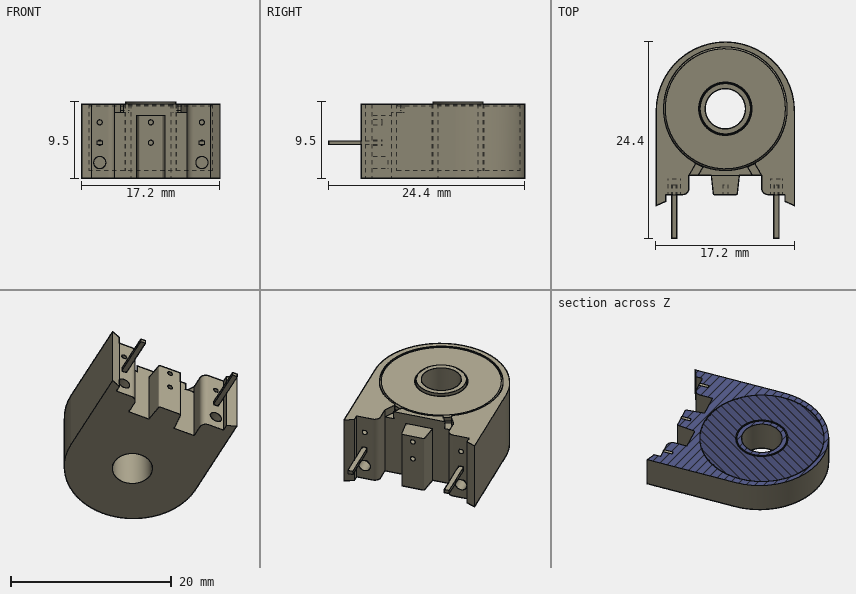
import cadquery as cq
import math

width = 17.2
outer_radius = width / 2
housing_height = 9.2
total_height = 9.5
total_length = 24.4

tip_y = -11.75
tip_inner_y = -11.22
tip_inner_x = 7.4
foot_y = -10.4
recess_x = 4.51
recess_y = -7.98
foot_fillet = 0.8

bore_y = 0.3
bore_radius = 2.5
tube_radius = 3.12
cavity_radius = 7.69
cavity_floor = 0.98

ring_bore_radius = 3.22
ring_chamfer = 0.22
ring_bore_chamfer = 0.1

block_root_half_width = 1.75
block_end_half_width = 1.5
block_height = 7.78
block_fillet = 0.2

channel_floor = 8.15
channel_width = 1.15
channel_angle = 30.0
channel_bend_y = -6.65
channel_end_y = -5.8
curb_height = 0.3
curb_width = 0.05

terminal_x = 6.35
upper_hole_z = 6.95
pin_z = 4.42
large_hole_z = 1.95
small_hole_diameter = 0.63
small_hole_depth = 1.22
large_hole_diameter = 1.51
large_hole_depth = 1.95
pin_width = 0.65
pin_height = 0.5


def cylinder(radius, bottom, top):
    """Cylinder on the bore axis."""
    return cq.Workplane("XY", origin=(0, bore_y, bottom)).circle(radius).extrude(top - bottom)


def make_shell():
    """Round-backed block with two feet, each ending in a slanted tip."""
    shell = (
        cq.Workplane("XY")
        .moveTo(outer_radius, 0)
        .threePointArc((0, outer_radius), (-outer_radius, 0))
        .lineTo(-outer_radius, tip_y)
        .lineTo(-tip_inner_x, tip_inner_y)
        .lineTo(-tip_inner_x, foot_y)
        .lineTo(-recess_x, foot_y)
        .lineTo(-recess_x, recess_y)
        .lineTo(recess_x, recess_y)
        .lineTo(recess_x, foot_y)
        .lineTo(tip_inner_x, foot_y)
        .lineTo(tip_inner_x, tip_inner_y)
        .lineTo(outer_radius, tip_y)
        .close()
        .extrude(housing_height)
    )
    for side in (-1, 1):
        corner = cq.selectors.NearestToPointSelector((side * recess_x, foot_y, housing_height / 2))
        shell = shell.edges(corner).fillet(foot_fillet)
    return shell


def make_block():
    """Tapered upright block standing in the front recess."""
    return (
        cq.Workplane("XY")
        .moveTo(-block_root_half_width, recess_y)
        .lineTo(-block_end_half_width, foot_y)
        .lineTo(block_end_half_width, foot_y)
        .lineTo(block_root_half_width, recess_y)
        .close()
        .extrude(block_height)
        .edges("|Z and <Y")
        .fillet(block_fillet)
    )


def make_channel(side):
    """Channel from the recess corner, slanted inward and then straight into the cavity."""
    bend_x = recess_x - (channel_bend_y - recess_y) * math.tan(math.radians(channel_angle))
    inner_shift = (channel_end_y - recess_y) * math.tan(math.radians(channel_angle))
    inner_x = recess_x - channel_width
    points = [
        (side * recess_x, recess_y),
        (side * bend_x, channel_bend_y),
        (side * bend_x, channel_end_y),
        (side * (inner_x - inner_shift), channel_end_y),
        (side * inner_x, recess_y),
    ]
    return (
        cq.Workplane("XY")
        .workplane(offset=channel_floor)
        .polyline(points)
        .close()
        .extrude(housing_height - channel_floor)
    )


def make_curb():
    """Sloped curb around the cavity, left standing at the inner end of each channel."""
    base_radius = cavity_radius + curb_width
    curb = cq.Solid.makeCone(
        base_radius, cavity_radius, curb_height, pnt=cq.Vector(0, bore_y, channel_floor)
    )
    return cq.Workplane(curb)


def make_hole(x, z, diameter, depth):
    return (
        cq.Workplane("XZ", origin=(x, foot_y, z))
        .circle(diameter / 2)
        .extrude(-depth)
    )


def make_pin(side):
    """Rectangular pin filling the width of its hole and reaching past the feet."""
    pin_end_y = outer_radius - total_length
    root_y = foot_y + small_hole_depth
    return (
        cq.Workplane("XZ", origin=(side * terminal_x, root_y, pin_z))
        .rect(pin_width, pin_height)
        .extrude(root_y - pin_end_y)
    )


def make_housing():
    housing = make_shell().union(make_block())
    for side in (-1, 1):
        housing = housing.cut(make_channel(side).cut(make_curb()))

    housing = housing.cut(cylinder(cavity_radius, cavity_floor, housing_height))
    housing = housing.union(cylinder(tube_radius, 0, total_height))
    housing = housing.cut(cylinder(bore_radius, 0, total_height))

    for x in (-terminal_x, 0, terminal_x):
        for z in (upper_hole_z, pin_z):
            housing = housing.cut(make_hole(x, z, small_hole_diameter, small_hole_depth))
    for side in (-1, 1):
        housing = housing.cut(
            make_hole(side * terminal_x, large_hole_z, large_hole_diameter, large_hole_depth)
        )
        housing = housing.union(make_pin(side))
    return housing


def make_potted_ring():
    """Ring filling the cavity, with chamfered rims and a narrow gap around the tube."""
    ring = cylinder(cavity_radius, cavity_floor, housing_height).faces(">Z").edges().chamfer(ring_chamfer)
    ring = ring.cut(cylinder(ring_bore_radius, cavity_floor, housing_height))
    bore_rim = cq.selectors.RadiusNthSelector(0)
    return ring.faces(">Z").edges(bore_rim).chamfer(ring_bore_chamfer)


housing = make_housing()
potted_ring = make_potted_ring()

result = cq.Compound.makeCompound([housing.val(), potted_ring.val()])